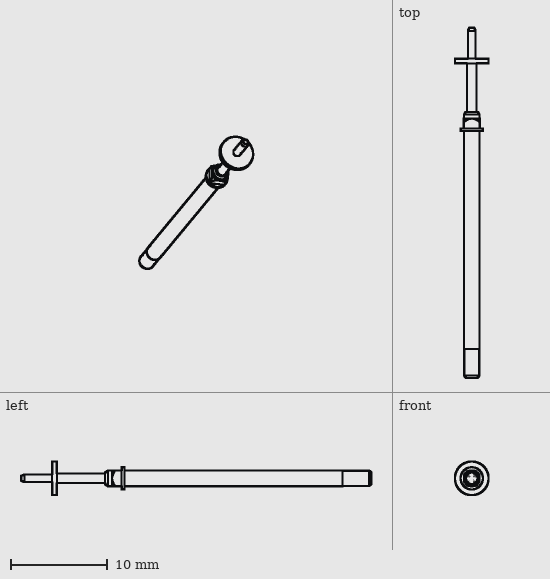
import cadquery as cq


barrel_diameter = 1.65
barrel_length = 25.5
tail_length = 3.0
tail_diameter = 1.6
tail_chamfer_length = 0.25
tail_chamfer_depth = 0.2

collar_diameter = 2.3
collar_thickness = 0.3

square_across_flats = 1.66
square_top = 1.3
square_taper_height = 0.3
square_corner_radius = collar_diameter / 2

neck_diameter = barrel_diameter
neck_top = 2.0
neck_chamfer_length = 0.3
neck_chamfer_depth = 0.2

rod_diameter = 1.0
disc_diameter = 3.5
disc_thickness = 0.5
disc_top = 7.5

pin_diameter = 0.8
pin_end = 10.7
pin_chamfer_length = 0.35
pin_chamfer_depth = 0.15

axis = cq.Vector(0, 1, 0)


def cylinder(diameter, start, end):
    """Solid cylinder on the Y axis between two Y positions."""
    base = cq.Vector(0, start, 0)
    return cq.Workplane(cq.Solid.makeCylinder(diameter / 2, end - start, base, axis))


def cone(start_radius, end_radius, start, end):
    """Solid truncated cone on the Y axis between two Y positions."""
    base = cq.Vector(0, start, 0)
    return cq.Workplane(cq.Solid.makeCone(start_radius, end_radius, end - start, base, axis))


def make_barrel():
    """Long barrel with a slightly reduced tail and a chamfered end."""
    tail_start = -barrel_length + tail_length
    chamfer_top = -barrel_length + tail_chamfer_length
    tail_radius = tail_diameter / 2
    barrel = cylinder(barrel_diameter, tail_start, 0)
    tail = cylinder(tail_diameter, chamfer_top, tail_start)
    end = cone(tail_radius - tail_chamfer_depth, tail_radius, -barrel_length, chamfer_top)
    return barrel.union(tail).union(end)


def make_collar():
    """Thin stop flange at the head of the barrel."""
    return cylinder(collar_diameter, 0, collar_thickness)


def make_square():
    """Square block above the collar, its corners trimmed round and tapered to the neck."""
    height = square_top - collar_thickness
    block = cq.Workplane("XY").box(square_across_flats, height, square_across_flats)
    block = block.translate((0, collar_thickness + height / 2, 0))
    taper_start = square_top - square_taper_height
    envelope = cylinder(2 * square_corner_radius, collar_thickness, taper_start)
    taper = cone(square_corner_radius, neck_diameter / 2, taper_start, square_top)
    return block.intersect(envelope.union(taper))


def make_neck():
    """Round neck above the square, chamfered where the plunger emerges."""
    chamfer_start = neck_top - neck_chamfer_length
    neck_radius = neck_diameter / 2
    neck = cylinder(neck_diameter, square_top, chamfer_start)
    end = cone(neck_radius, neck_radius - neck_chamfer_depth, chamfer_start, neck_top)
    return neck.union(end)


def make_plunger():
    """Plunger rod, contact disc and chamfered pin."""
    rod = cylinder(rod_diameter, neck_top, disc_top)
    disc = cylinder(disc_diameter, disc_top - disc_thickness, disc_top)
    chamfer_start = pin_end - pin_chamfer_length
    pin_radius = pin_diameter / 2
    pin = cylinder(pin_diameter, disc_top, chamfer_start)
    end = cone(pin_radius, pin_radius - pin_chamfer_depth, chamfer_start, pin_end)
    return rod.union(disc).union(pin).union(end)


result = make_barrel()
for feature in (make_collar(), make_square(), make_neck(), make_plunger()):
    result = result.union(feature)